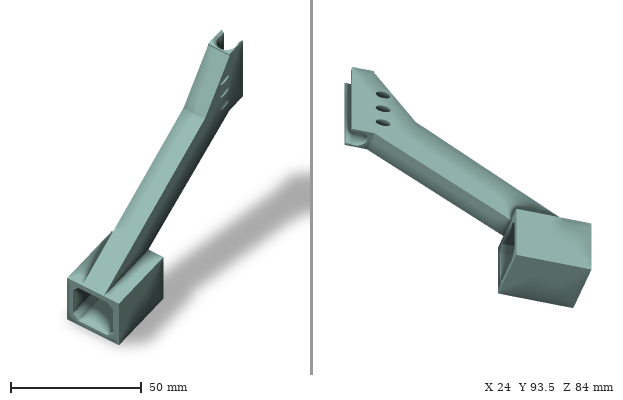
import cadquery as cq

sleeve_width = 24.0
sleeve_length = 30.0
sleeve_height = 23.0
side_wall = 2.7
flat_wall = 2.4
window_chamfer = 2.6

total_length = 93.5
total_height = 84.0
arm_width = 10.0
head_depth = 8.9
head_bottom = 53.0
bend_y = 68.1
bend_z = 62.6
lip_height = 0.8
lip_chamfer = 0.2

groove_diameter = 8.1
groove_center_depth = 3.5
mouth_width = 7.7
groove_chamfer = 1.0

hole_length = 6.0
hole_height = 3.0
hole_y = 81.1
hole_middle_z = 66.0
hole_pitch = 6.9
hole_count = 3


def make_sleeve():
    """Rectangular tube along Y with a corner-chamfered window."""
    block = cq.Workplane("XY").box(
        sleeve_width, sleeve_length, sleeve_height, centered=(True, False, False)
    )
    window = (
        cq.Workplane("XY", origin=(0, 0, flat_wall))
        .box(
            sleeve_width - 2 * side_wall,
            sleeve_length,
            sleeve_height - 2 * flat_wall,
            centered=(True, False, False),
        )
        .edges("|Y")
        .chamfer(window_chamfer)
    )
    return block.cut(window)


def make_arm():
    """Sloping arm and head, one side profile extruded across X."""
    head_front = total_length - head_depth
    outline = [
        (0, sleeve_height),
        (sleeve_length, sleeve_height),
        (head_front, head_bottom),
        (total_length, head_bottom),
        (total_length, total_height),
        (head_front + lip_chamfer, total_height),
        (head_front, total_height - lip_chamfer),
        (head_front, total_height - lip_height),
        (bend_y, bend_z),
    ]
    return cq.Workplane("YZ").polyline(outline).close().extrude(arm_width / 2, both=True)


def make_groove():
    """Round groove whose narrower mouth lets a rod enter from the back."""
    height = total_height - head_bottom
    center_y = total_length - groove_center_depth
    bore = (
        cq.Workplane("XY", origin=(0, center_y, head_bottom))
        .circle(groove_diameter / 2)
        .extrude(height)
    )
    mouth = cq.Workplane("XY", origin=(0, center_y, head_bottom)).box(
        mouth_width, groove_center_depth, height, centered=(True, False, False)
    )
    return bore.union(mouth)


def make_flare():
    """45 degree flare around the bore and mouth at the top of the head."""
    center_y = total_length - groove_center_depth
    cone = (
        cq.Workplane("XY", origin=(0, center_y, total_height))
        .circle(groove_diameter / 2 + groove_chamfer)
        .extrude(-groove_chamfer, taper=45)
    )
    half_bottom = mouth_width / 2
    half_top = half_bottom + groove_chamfer
    wedge = (
        cq.Workplane("XZ", origin=(0, center_y, total_height))
        .moveTo(-half_top, 0)
        .lineTo(half_top, 0)
        .lineTo(half_bottom, -groove_chamfer)
        .lineTo(-half_bottom, -groove_chamfer)
        .close()
        .extrude(-groove_center_depth)
    )
    return cone.union(wedge)


def make_holes():
    """Column of elliptical holes running through X."""
    first_z = hole_middle_z - hole_pitch * (hole_count - 1) / 2
    centers = [(hole_y, first_z + i * hole_pitch) for i in range(hole_count)]
    return (
        cq.Workplane("YZ")
        .pushPoints(centers)
        .ellipse(hole_length / 2, hole_height / 2)
        .extrude(arm_width, both=True)
    )


arm = make_arm().cut(make_groove()).cut(make_flare()).cut(make_holes())
result = make_sleeve().union(arm)